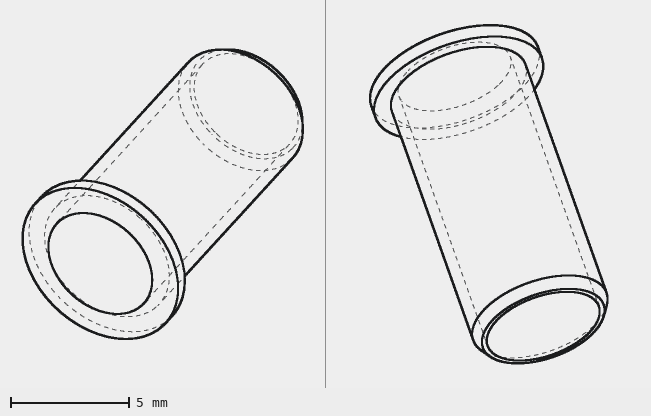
import cadquery as cq

total_length = 13.0
flange_diameter = 7.5
flange_thickness = 0.6
body_diameter = 6.0
bore_diameter = 5.0

chamfer_length = 0.5
chamfer_depth = 0.29

flange_radius = flange_diameter / 2
body_radius = body_diameter / 2
bore_radius = bore_diameter / 2

wall_section = (
    cq.Workplane("XY")
    .moveTo(bore_radius, 0)
    .lineTo(flange_radius, 0)
    .lineTo(flange_radius, flange_thickness)
    .lineTo(body_radius, flange_thickness)
    .lineTo(body_radius, total_length - chamfer_length)
    .lineTo(body_radius - chamfer_depth, total_length)
    .lineTo(bore_radius, total_length)
    .close()
)

result = wall_section.revolve(360, (0, 0, 0), (0, 1, 0))